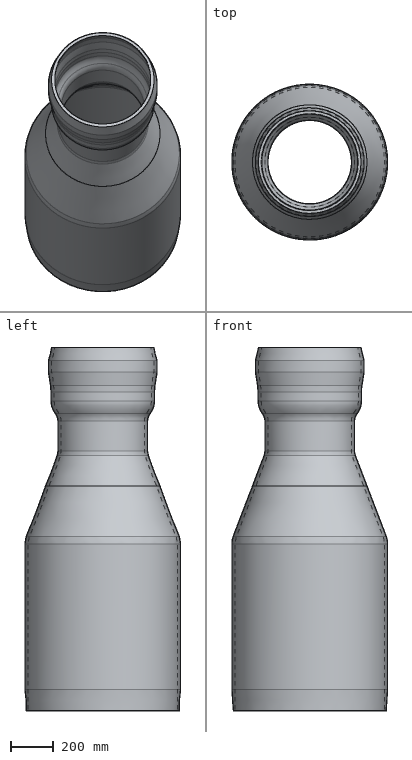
import cadquery as cq

WALL = 15.0
CONVEX_BEND = 100.0
CONCAVE_BEND = 60.0
TOTAL_HEIGHT = 1700.0
SPLIT_HEIGHT = 1052.0

BARREL_RADIUS = 730.0 / 2
NECK_RADIUS = 420.0 / 2
SOCKET_RADIUS = 485.0 / 2
RIM_RADIUS = 480.0 / 2
BULGE_RADIUS = RIM_RADIUS + WALL

CONE_BOTTOM = 799.0
CONE_TOP = 1204.0

NECK_TOP = 1355.0
SOCKET_BOTTOM = 1448.0
SOCKET_TOP = 1506.0
BULGE_BOTTOM = 1585.0
BULGE_TOP = 1637.0
SOCKET_BEND = 199.0

TAPER_HEIGHT = 100.0
TAPER_DEPTH = 7.0

split_fraction = (SPLIT_HEIGHT - CONE_BOTTOM) / (CONE_TOP - CONE_BOTTOM)
split_radius = BARREL_RADIUS + split_fraction * (NECK_RADIUS - BARREL_RADIUS)


def revolve_profile(profile):
    """Close a radius-height profile and turn it about the Z axis."""
    return profile.close().revolve(360, (0, 0, 0), (0, 1, 0))


def round_corner(body, radius, height, bend_radius):
    """Round the circular corner of the given radius and height."""
    corner = cq.selectors.BoxSelector(
        (-2 * radius, -2 * radius, height - WALL / 2),
        (2 * radius, 2 * radius, height + WALL / 2),
    )
    return body.edges("%CIRCLE").edges(corner).fillet(bend_radius)


def hollow(body):
    """Leave a wall of even thickness, open at both ends."""
    return body.faces("<Z or >Z").shell(-WALL)


def make_barrel():
    """Lower body: straight barrel, rounded shoulder and lower part of the cone."""
    profile = (
        cq.Workplane("XZ")
        .lineTo(BARREL_RADIUS, 0)
        .lineTo(BARREL_RADIUS, CONE_BOTTOM)
        .lineTo(split_radius, SPLIT_HEIGHT)
        .lineTo(0, SPLIT_HEIGHT)
    )
    body = revolve_profile(profile)
    body = round_corner(body, BARREL_RADIUS, CONE_BOTTOM, CONVEX_BEND)
    body = hollow(body)

    taper_cut = revolve_profile(
        cq.Workplane("XZ")
        .moveTo(BARREL_RADIUS - TAPER_DEPTH, 0)
        .lineTo(BARREL_RADIUS, TAPER_HEIGHT)
        .lineTo(BARREL_RADIUS, 0)
    )
    return body.cut(taper_cut).solids()


def make_neck():
    """Upper body: upper part of the cone, straight neck and bulged socket."""
    bend_share = CONVEX_BEND / (CONVEX_BEND + CONCAVE_BEND)
    bend_meeting = (
        SOCKET_RADIUS + bend_share * (NECK_RADIUS - SOCKET_RADIUS),
        SOCKET_BOTTOM + bend_share * (NECK_TOP - SOCKET_BOTTOM),
    )
    profile = (
        cq.Workplane("XZ")
        .moveTo(0, TOTAL_HEIGHT)
        .lineTo(RIM_RADIUS, TOTAL_HEIGHT)
        .lineTo(BULGE_RADIUS, BULGE_TOP)
        .lineTo(BULGE_RADIUS, BULGE_BOTTOM)
        .lineTo(SOCKET_RADIUS, SOCKET_TOP)
        .lineTo(SOCKET_RADIUS, SOCKET_BOTTOM)
        .tangentArcPoint(bend_meeting, relative=False)
        .tangentArcPoint((NECK_RADIUS, NECK_TOP), relative=False)
        .lineTo(NECK_RADIUS, CONE_TOP)
        .lineTo(split_radius, SPLIT_HEIGHT)
        .lineTo(0, SPLIT_HEIGHT)
    )
    body = revolve_profile(profile)
    body = round_corner(body, SOCKET_RADIUS, SOCKET_TOP, SOCKET_BEND)
    body = round_corner(body, NECK_RADIUS, CONE_TOP, CONCAVE_BEND)
    return hollow(body)


barrel = make_barrel()
neck = make_neck()
result = cq.Compound.makeCompound([barrel.val(), neck.val()])